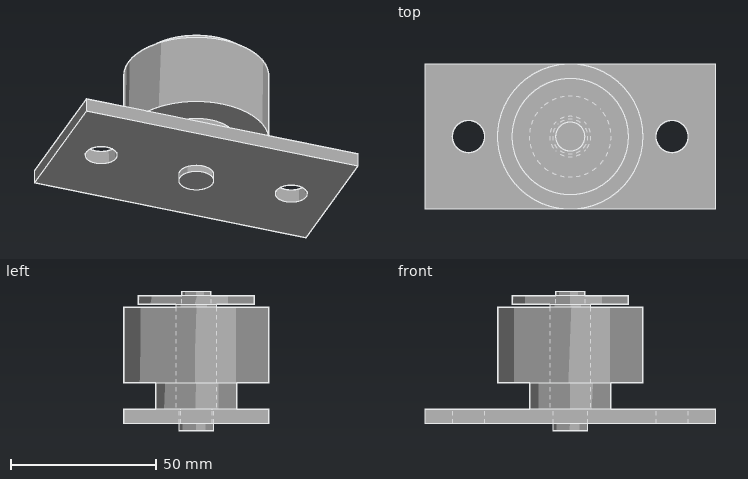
import cadquery as cq

plate_length = 100.0
plate_width = 50.0
plate_thickness = 5.0
mount_hole_diameter = 11.0
mount_hole_spacing = 70.0

spacer_diameter = 28.0
spacer_height = 9.0
roller_diameter = plate_width
roller_height = 26.0
washer_diameter = 40.0
washer_thickness = 3.0
washer_clearance = 1.0

pin_foot_diameter = 12.0
pin_body_diameter = 14.0
pin_tip_diameter = 10.0
pin_foot_projection = 2.5
pin_tip_projection = 1.5

spacer_bottom = plate_thickness
roller_bottom = spacer_bottom + spacer_height
washer_bottom = roller_bottom + roller_height + washer_clearance


def disc(diameter, height, bottom):
    """Solid cylinder on the Z axis, standing at the given level."""
    return cq.Workplane("XY").workplane(offset=bottom).circle(diameter / 2).extrude(height)


def ring(outer_diameter, bore_diameter, height, bottom):
    """Cylinder on the Z axis with a through bore."""
    return disc(outer_diameter, height, bottom).cut(disc(bore_diameter, height, bottom))


def make_plate():
    """Rectangular plate with two mounting holes and a seat for the pin foot."""
    half_spacing = mount_hole_spacing / 2
    return (
        cq.Workplane("XY")
        .box(plate_length, plate_width, plate_thickness, centered=(True, True, False))
        .faces(">Z")
        .workplane(origin=(0, 0, plate_thickness))
        .pushPoints([(-half_spacing, 0), (half_spacing, 0)])
        .hole(mount_hole_diameter)
        .cut(disc(pin_foot_diameter, plate_thickness, 0))
    )


def make_pin():
    """Pin whose body shoulders rest on the plate and carry the washer."""
    foot = disc(pin_foot_diameter, pin_foot_projection + plate_thickness, -pin_foot_projection)
    body = disc(pin_body_diameter, washer_bottom - plate_thickness, plate_thickness)
    tip = disc(pin_tip_diameter, washer_thickness + pin_tip_projection, washer_bottom)
    return foot.union(body).union(tip)


plate = make_plate()
spacer = ring(spacer_diameter, pin_body_diameter, spacer_height, spacer_bottom)
roller = ring(roller_diameter, pin_body_diameter, roller_height, roller_bottom)
washer = ring(washer_diameter, pin_tip_diameter, washer_thickness, washer_bottom)
pin = make_pin()

result = cq.Compound.makeCompound(
    [plate.val(), spacer.val(), roller.val(), washer.val(), pin.val()]
)